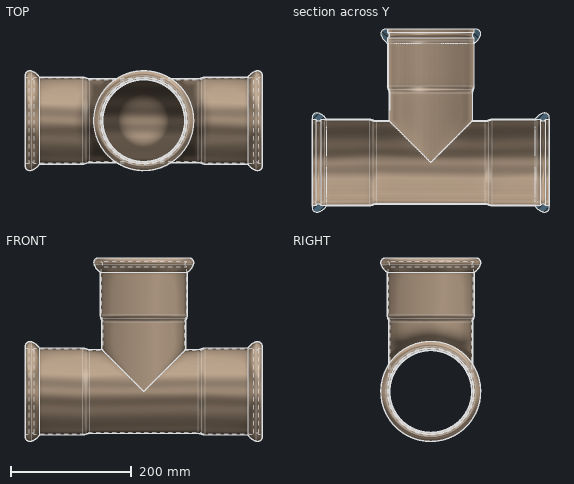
import cadquery as cq
import math

run_length = 394.0
branch_height = 222.0

tube_outer_radius = 140.0 / 2
tube_bore_radius = 135.5 / 2
socket_outer_radius = 145.0 / 2
socket_bore_radius = 141.0 / 2

mouth_radius = 142.5 / 2
collar_radius = 166.3 / 2
roll_radius = 8.3
roll_depth = 11.0
collar_depth = 24.0
lead_in_depth = 20.5

bead_start = 6.5
bead_width = 8.5
bead_height = 2.8

reduction_start = 95.0
reduction_length = 12.0


def outer_collar_points():
    """Middle and end of the tight arc around the rolled edge, as (radius, depth)."""
    roll_center_radius = collar_radius - roll_radius
    end_angle = math.asin((roll_depth - roll_radius) / roll_radius)
    middle_angle = (end_angle - math.pi / 2) / 2

    def roll_point(angle):
        return (roll_center_radius + roll_radius * math.cos(angle),
                roll_radius + roll_radius * math.sin(angle))

    return roll_point(middle_angle), roll_point(end_angle)


def add_reduction(profile, start_radius, start_depth, end_radius, end_depth):
    """Append two equal, opposite arcs that are parallel to the pipe axis at both ends."""
    middle = ((start_radius + end_radius) / 2, (start_depth + end_depth) / 2)
    return (
        profile
        .tangentArcPoint(middle, relative=False)
        .tangentArcPoint((end_radius, end_depth), relative=False)
    )


def make_leg(length):
    """Pipe leg along Z, from the origin up to a port face at the given height."""
    reduction_end = reduction_start + reduction_length
    roll_middle, roll_end = outer_collar_points()
    bead_end = bead_start + bead_width
    bead_crest = (mouth_radius - bead_height, bead_start + bead_width / 2)

    section = cq.Plane(origin=(0, 0, length), xDir=(1, 0, 0), normal=(0, 1, 0))
    profile = (
        cq.Workplane(section)
        .moveTo(mouth_radius, 0)
        .lineTo(collar_radius - roll_radius, 0)
        .threePointArc(roll_middle, roll_end)
        .tangentArcPoint((socket_outer_radius, collar_depth), relative=False)
        .lineTo(socket_outer_radius, reduction_start)
    )
    profile = add_reduction(
        profile, socket_outer_radius, reduction_start, tube_outer_radius, reduction_end)
    profile = (
        profile
        .lineTo(tube_outer_radius, length)
        .lineTo(tube_bore_radius, length)
        .lineTo(tube_bore_radius, reduction_end)
    )
    profile = add_reduction(
        profile, tube_bore_radius, reduction_end, socket_bore_radius, reduction_start)
    profile = (
        profile
        .lineTo(socket_bore_radius, collar_depth)
        .lineTo(mouth_radius, lead_in_depth)
        .lineTo(mouth_radius, bead_end)
        .threePointArc(bead_crest, (mouth_radius, bead_start))
        .close()
    )
    return profile.revolve(360, (0, 0, 0), (0, 1, 0))


def make_miter_wedge():
    """Right-angled wedge opening upward from the crossing of the axes."""
    reach = branch_height + collar_radius
    return (
        cq.Workplane("XZ")
        .polyline([(0, 0), (reach, reach), (-reach, reach)])
        .close()
        .extrude(collar_radius, both=True)
    )


def make_run(wedge):
    """Straight pipe with a port at each end and a mitered notch for the branch."""
    right_leg = make_leg(run_length / 2).rotate((0, 0, 0), (0, 1, 0), 90)
    left_leg = right_leg.rotate((0, 0, 0), (0, 0, 1), 180)
    return right_leg.union(left_leg).clean().cut(wedge)


def make_branch(wedge):
    """Upright pipe whose lower end is mitered to fit the notch in the run."""
    return make_leg(branch_height).intersect(wedge)


miter_wedge = make_miter_wedge()
run = make_run(miter_wedge)
branch = make_branch(miter_wedge)

result = cq.Compound.makeCompound([run.val(), branch.val()])